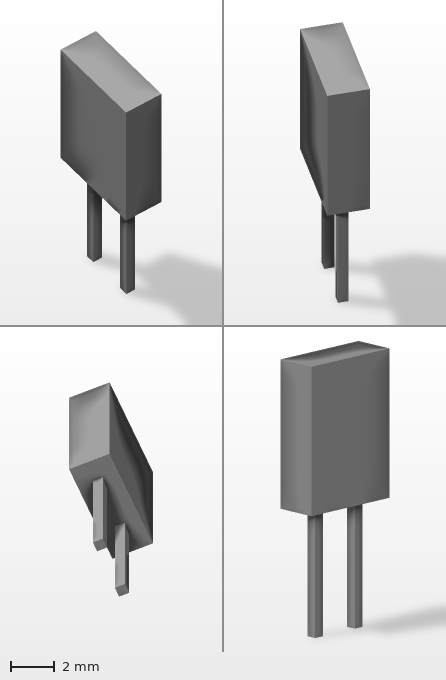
import cadquery as cq

total_height = 13.0
body_width = 5.0
body_depth = 2.0

lead_length = 6.0
lead_side = 0.5
lead_pitch = 2.54

body_height = total_height - lead_length


def make_body():
    """Rectangular body standing on the plane Z = 0."""
    return cq.Workplane("XY").box(body_width, body_depth, body_height, centered=(True, True, False))


def make_lead(x):
    """Square lead at the given X, hanging from the underside of the body."""
    return cq.Workplane("XY").center(x, 0).rect(lead_side, lead_side).extrude(-lead_length)


body = make_body()
leads = [make_lead(side * lead_pitch / 2) for side in (-1, 1)]

result = cq.Compound.makeCompound([body.val(), *[lead.val() for lead in leads]])